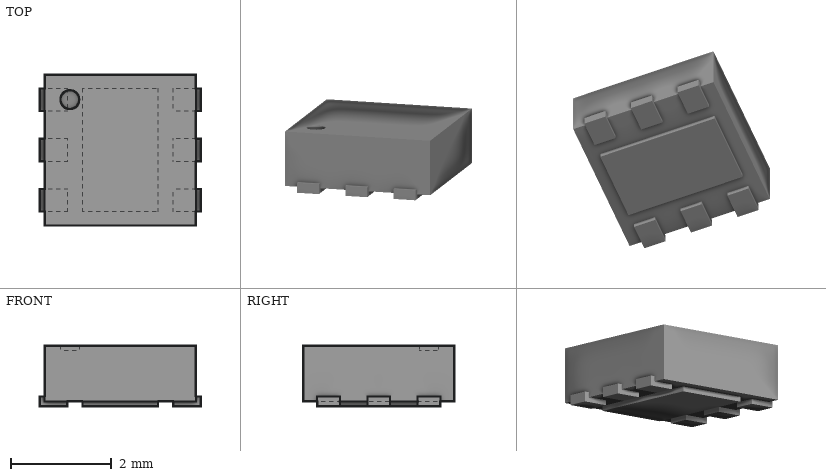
import cadquery as cq

overall_length = 3.2
overall_height = 1.21

housing_side = 3.0
marker_diameter = 0.375
marker_depth = 0.1
marker_offset = 1.0

metal_thickness = 0.1
lead_width = 0.45
lead_length = 0.55
lead_height = 0.2
lead_pitch = 1.0
leads_per_side = 3
pad_length = 1.5

housing_height = overall_height - metal_thickness
lead_toe = (overall_length - housing_side) / 2
lead_row_span = (leads_per_side - 1) * lead_pitch + lead_width
pad_width = lead_row_span


def make_housing():
    """Square block with a round pin-one recess in its top face."""
    block = (
        cq.Workplane("XY", origin=(0, 0, metal_thickness))
        .rect(housing_side, housing_side)
        .extrude(housing_height)
    )
    marker = (
        cq.Workplane("XY", origin=(-marker_offset, marker_offset, overall_height))
        .circle(marker_diameter / 2)
        .extrude(-marker_depth)
    )
    return block.cut(marker)


def make_lead(side, y_center):
    """L-shaped lead: a foot under the housing and a toe up its wall; side is -1 or +1 along X."""
    outer_x = side * overall_length / 2
    wall_x = outer_x - side * lead_toe
    inner_x = outer_x - side * lead_length
    profile = [
        (outer_x, 0),
        (inner_x, 0),
        (inner_x, metal_thickness),
        (wall_x, metal_thickness),
        (wall_x, lead_height),
        (outer_x, lead_height),
    ]
    return (
        cq.Workplane("XZ", origin=(0, y_center, 0))
        .polyline(profile)
        .close()
        .extrude(lead_width / 2, both=True)
    )


def make_center_pad():
    """Flat rectangular pad under the middle of the housing."""
    return cq.Workplane("XY").rect(pad_length, pad_width).extrude(metal_thickness)


housing = make_housing()
center_pad = make_center_pad()

leads = []
for side in (-1, 1):
    for index in range(leads_per_side):
        y_center = (index - (leads_per_side - 1) / 2) * lead_pitch
        leads.append(make_lead(side, y_center).val())

result = cq.Compound.makeCompound([housing.val(), center_pad.val(), *leads])